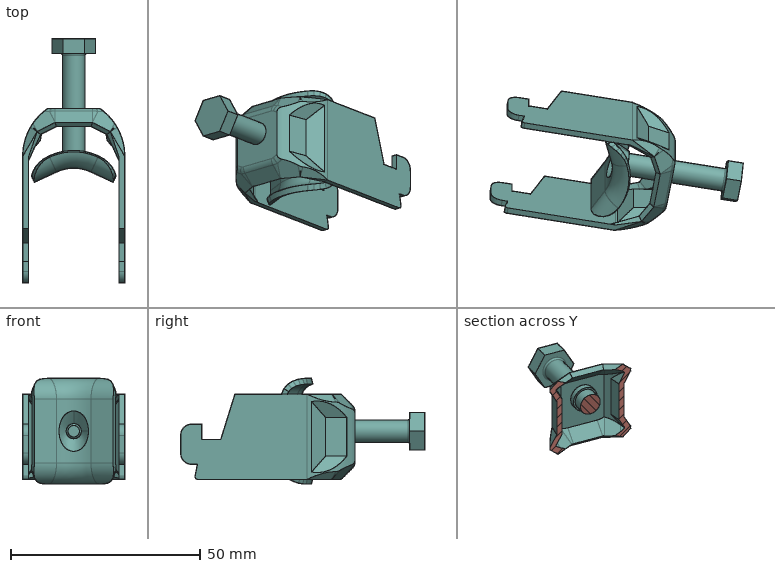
import cadquery as cq
import math

SHEET = 1.6
FAR = 58.05

WIDTH = 27.0
TOP_Z = 9.8
BOTTOM_Z = -12.8
TIP_Y = -46.05
LEG_START_Y = -12.7
SHOULDER_RADIUS = 15.5
LIP_SETBACK = 3.7
LIP_ANGLE = 45
LIP_HALF = 4.9
LIP_CORNER = (9.7, -6.1)
BACK_ROUND = 2.25

SLOPE_TOP_Y = -31.75
SLOPE_END_Y = -35.5
SLOT_FLOOR_Z = -2.2
SLOT_END_Y = -40.45
HOOK_TOP_Z = 1.9
HOOK_BOTTOM_Z = -8.8
HOOK_ROUND = 2.95
HEEL_TOP_Y = -41.65
HEEL_END_Y = -42.45
HEEL_ROUND = 0.8

PANEL_BACK = (-9.35, -2.2)
PANEL_FRONT = (-10.3, -7.75)
PANEL_HEIGHT = 10.1
PANEL_TAPER = 60
PANEL_REACH = 3.55

COLLAR_DIAMETER = 7.0
COLLAR_END_Y = -3.2

SHANK_DIAMETER = 6.0
HEAD_TOP_Y = TIP_Y + 64.5
HEAD_HEIGHT = 4.0
HEAD_ACROSS_FLATS = 10.0
HEAD_FILLET = 0.45
PIN_DIAMETER = 4.0
PIN_CHAMFER = 0.485

CREST_Y = -15.8
ARCH_RADIUS = 10.8
ARCH_ANGLE = 25
WING_LENGTH = 6.45
FLAT_HALF = 8.45
FLARE_RADIUS = 5.715
FLARE_ANGLE = 76
WING_ROUND = 6.3
CORNER_STEP = 15
DIMPLE_FLOOR_Y = -13.3
DIMPLE_MOUTH_Y = -16.5
DIMPLE_MOUTH = (3.9, 6.25)
BOSS_BASE_Y = -15.5
BOSS_BASE = (5.15, 6.1)
BOSS_END_Y = -11.75
BOSS_END_RADIUS = 3.55

mid_z = (TOP_Z + BOTTOM_Z) / 2
half_width = WIDTH / 2


def cylinder_y(radius, start, end):
    """Cylinder on the screw axis between two Y positions."""
    return cq.Workplane("XZ", origin=(0, start, 0)).circle(radius).extrude(start - end)


def mirrored_outline(right_side):
    """Closed XY outline from the points of its +X half, listed from back to front."""
    left_side = [(-x, y) for x, y in reversed(right_side)]
    return cq.Workplane("XY").polyline(right_side + left_side).close()


def shoulder_block(inset):
    """Upright U-shaped block: flat back, round shoulders and straight sides, moved in by inset."""
    radius = SHOULDER_RADIUS - inset
    side = half_width - inset
    centre_x = half_width - SHOULDER_RADIUS
    back_x = centre_x + math.sqrt(radius**2 - (LEG_START_Y + inset) ** 2)
    half_turn = math.atan2(-inset - LEG_START_Y, back_x - centre_x) / 2
    arc_x = centre_x + radius * math.cos(half_turn)
    arc_y = LEG_START_Y + radius * math.sin(half_turn)
    return (
        cq.Workplane("XY", origin=(0, 0, BOTTOM_Z))
        .moveTo(-back_x, -inset)
        .lineTo(back_x, -inset)
        .threePointArc((arc_x, arc_y), (side, LEG_START_Y))
        .lineTo(side, -FAR)
        .lineTo(-side, -FAR)
        .lineTo(-side, LEG_START_Y)
        .threePointArc((-arc_x, arc_y), (-back_x, -inset))
        .close()
        .extrude(TOP_Z - BOTTOM_Z)
    )


def lip_outline(leg_point):
    """Top edge outline: straight along the back, turning at the lip corner, then through leg_point."""
    corner_x, corner_y = LIP_CORNER
    leg_x, leg_y = leg_point
    spread = (leg_x - corner_x) / (corner_y - leg_y)
    end_x = corner_x + spread * (corner_y + FAR)
    return mirrored_outline([(LIP_HALF, -LIP_SETBACK), LIP_CORNER, (end_x, -FAR)])


def below_lips(inset):
    """Space between the two leaning lips, with its top and bottom outlines moved in by inset."""
    outline = lip_outline((half_width, LEG_START_Y))
    if inset > 0:
        outline = outline.offset2D(-inset)
    upper = outline.extrude(BOTTOM_Z - TOP_Z, taper=-LIP_ANGLE).translate((0, 0, TOP_Z))
    return upper.intersect(upper.mirror("XY", (0, 0, mid_z)))


def lip_mouths():
    """Bevelled openings at the top and bottom that square off the rims of the lips."""
    outline = lip_outline((half_width - SHEET, LEG_START_Y))
    upper = outline.extrude(-2 * SHEET, taper=LIP_ANGLE).translate((0, 0, TOP_Z))
    return upper.union(upper.mirror("XY", (0, 0, mid_z)))


def shoulder_panel(depth):
    """Tapered block that presses a panel into each shoulder, its floor moved inward by depth."""
    (back_x, back_y), (front_x, front_y) = PANEL_BACK, PANEL_FRONT
    length = math.hypot(front_x - back_x, front_y - back_y)
    growth = 2 * depth * math.tan(math.radians(90 - PANEL_TAPER) / 2)
    floor = cq.Plane(
        origin=((back_x + front_x) / 2, (back_y + front_y) / 2, mid_z),
        xDir=(front_x - back_x, front_y - back_y, 0),
        normal=(front_y - back_y, back_x - front_x, 0),
    )
    reach = PANEL_REACH + depth
    spread = 2 * reach * math.tan(math.radians(PANEL_TAPER))
    left = (
        cq.Workplane(floor)
        .workplane(offset=-depth)
        .rect(length + growth, PANEL_HEIGHT + growth)
        .workplane(offset=reach)
        .rect(length + growth + spread, PANEL_HEIGHT + growth + spread)
        .loft(ruled=True)
    )
    return left.union(left.mirror("YZ"))


def leg_outline():
    """Side shape of both legs, as one block across the full width."""
    corner = HOOK_ROUND * (1 - math.sqrt(0.5))
    block = (
        cq.Workplane("YZ", origin=(-half_width, 0, 0))
        .moveTo(0, TOP_Z)
        .lineTo(SLOPE_TOP_Y, TOP_Z)
        .lineTo(SLOPE_END_Y, SLOT_FLOOR_Z)
        .lineTo(SLOT_END_Y, SLOT_FLOOR_Z)
        .lineTo(SLOT_END_Y, HOOK_TOP_Z)
        .lineTo(TIP_Y + HOOK_ROUND, HOOK_TOP_Z)
        .threePointArc((TIP_Y + corner, HOOK_TOP_Z - corner), (TIP_Y, HOOK_TOP_Z - HOOK_ROUND))
        .lineTo(TIP_Y, HOOK_BOTTOM_Z + HOOK_ROUND)
        .threePointArc((TIP_Y + corner, HOOK_BOTTOM_Z + corner), (TIP_Y + HOOK_ROUND, HOOK_BOTTOM_Z))
        .lineTo(HEEL_TOP_Y, HOOK_BOTTOM_Z)
        .lineTo(HEEL_END_Y, BOTTOM_Z)
        .lineTo(0, BOTTOM_Z)
        .close()
        .extrude(WIDTH)
    )
    heel = cq.selectors.NearestToPointSelector((0, HEEL_END_Y, BOTTOM_Z))
    return block.edges(heel).fillet(HEEL_ROUND)


def make_bracket():
    """Sheet metal U bracket with leaning lips, pressed-in shoulders and a threaded collar."""
    outside = shoulder_block(0).intersect(below_lips(0))
    outside = outside.faces(">Y").edges("|X").fillet(BACK_ROUND)
    lip_inset = SHEET / math.cos(math.radians(LIP_ANGLE))
    cavity = shoulder_block(SHEET).intersect(below_lips(lip_inset).union(lip_mouths()))
    cavity = cavity.cut(shoulder_panel(SHEET))
    shell = outside.cut(shoulder_panel(0)).cut(cavity).intersect(leg_outline())
    collar = cylinder_y(COLLAR_DIAMETER / 2, -SHEET / 2, COLLAR_END_Y)
    return shell.union(collar).cut(cylinder_y(SHANK_DIAMETER / 2, FAR, -FAR))


def make_screw():
    """Hexagon head screw whose reduced end sits in the saddle."""
    head_bottom = HEAD_TOP_Y - HEAD_HEIGHT
    corner_diameter = HEAD_ACROSS_FLATS / math.cos(math.pi / 6)
    head = cq.Workplane("XZ", origin=(0, HEAD_TOP_Y, 0)).polygon(6, corner_diameter).extrude(HEAD_HEIGHT)
    screw = head.union(cylinder_y(SHANK_DIAMETER / 2, head_bottom, BOSS_END_Y))
    screw = screw.edges("%CIRCLE").edges(">Y").fillet(HEAD_FILLET)
    pin = cylinder_y(PIN_DIAMETER / 2, BOSS_END_Y, DIMPLE_FLOOR_Y).faces("<Y").chamfer(PIN_CHAMFER)
    return screw.union(pin)


def saddle_section():
    """YZ cross-section of the saddle: a straight strip with both long edges rolled back."""
    angle = math.radians(FLARE_ANGLE)
    inner = FLARE_RADIUS - SHEET
    back_y = CREST_Y + SHEET

    def flare_point(radius, turn, side):
        y = CREST_Y + FLARE_RADIUS - radius * math.cos(turn)
        return y, side * (FLAT_HALF + radius * math.sin(turn))

    return (
        cq.Workplane("YZ")
        .moveTo(CREST_Y, -FLAT_HALF)
        .lineTo(CREST_Y, FLAT_HALF)
        .threePointArc(flare_point(FLARE_RADIUS, angle / 2, 1), flare_point(FLARE_RADIUS, angle, 1))
        .lineTo(*flare_point(inner, angle, 1))
        .threePointArc(flare_point(inner, angle / 2, 1), (back_y, FLAT_HALF))
        .lineTo(back_y, -FLAT_HALF)
        .threePointArc(flare_point(inner, angle / 2, -1), flare_point(inner, angle, -1))
        .lineTo(*flare_point(FLARE_RADIUS, angle, -1))
        .threePointArc(flare_point(FLARE_RADIUS, angle / 2, -1), (CREST_Y, -FLAT_HALF))
        .close()
    )


def wing_blank():
    """Outline block of the +X wing: its corners are rounded along the rolled sheet."""
    margin = SHEET / 2
    flare_length = FLARE_RADIUS * math.radians(FLARE_ANGLE)
    near = FLARE_RADIUS - SHEET - margin
    far = FLARE_RADIUS + margin

    def corner_section(turn):
        length = WING_LENGTH - WING_ROUND * (1 - math.cos(turn))
        roll = (flare_length - WING_ROUND * (1 - math.sin(turn))) / FLARE_RADIUS
        plane = cq.Plane(
            origin=(0, CREST_Y + FLARE_RADIUS, FLAT_HALF),
            xDir=(1, 0, 0),
            normal=(0, math.sin(roll), math.cos(roll)),
        )
        section = cq.Workplane(plane).polyline([(0, -near), (length, -near), (length, -far), (0, -far)])
        return section.close().val()

    turns = [math.radians(angle) for angle in range(0, 91, CORNER_STEP)]
    corner = cq.Workplane(cq.Solid.makeLoft([corner_section(turn) for turn in turns], True))
    roll_start = (flare_length - WING_ROUND) / FLARE_RADIUS
    middle = (
        cq.Workplane("YZ")
        .moveTo(CREST_Y + FLARE_RADIUS, -FLAT_HALF)
        .lineTo(CREST_Y - margin, -FLAT_HALF)
        .lineTo(CREST_Y - margin, FLAT_HALF + (FLARE_RADIUS + margin) * math.tan(roll_start))
        .lineTo(CREST_Y + FLARE_RADIUS, FLAT_HALF)
        .close()
        .extrude(WING_LENGTH)
    )
    upper = corner.union(middle)
    return upper.union(upper.mirror("XY"))


def saddle_wing(arch_y):
    """Straight wing at the +X end of the arch."""
    wing = saddle_section().extrude(WING_LENGTH).intersect(wing_blank())
    return wing.rotate((0, arch_y, 0), (0, arch_y, 1), -ARCH_ANGLE)


def ellipse_cone(start_y, start_size, end_y, end_radius):
    """Cone along Y from an ellipse to a circle."""
    return (
        cq.Workplane("XZ", origin=(0, start_y, 0))
        .ellipse(*start_size)
        .workplane(offset=start_y - end_y)
        .ellipse(end_radius, end_radius)
        .loft(ruled=True)
    )


def make_saddle():
    """Arched clamping saddle with rolled edges and a dimple that holds the screw end."""
    arch_y = CREST_Y - ARCH_RADIUS
    arch = (
        saddle_section()
        .revolve(2 * ARCH_ANGLE, (arch_y, 0), (arch_y, 1))
        .rotate((0, arch_y, 0), (0, arch_y, 1), -ARCH_ANGLE)
    )
    wing = saddle_wing(arch_y)
    boss = ellipse_cone(BOSS_BASE_Y, BOSS_BASE, BOSS_END_Y, BOSS_END_RADIUS)
    saddle = arch.union(wing).union(wing.mirror("YZ")).union(boss)
    dimple = ellipse_cone(DIMPLE_MOUTH_Y, DIMPLE_MOUTH, DIMPLE_FLOOR_Y, PIN_DIAMETER / 2)
    return saddle.cut(dimple).cut(cylinder_y(PIN_DIAMETER / 2, BOSS_END_Y, DIMPLE_FLOOR_Y))


bracket = make_bracket()
screw = make_screw()
saddle = make_saddle()

result = cq.Compound.makeCompound([bracket.val(), screw.val(), saddle.val()])